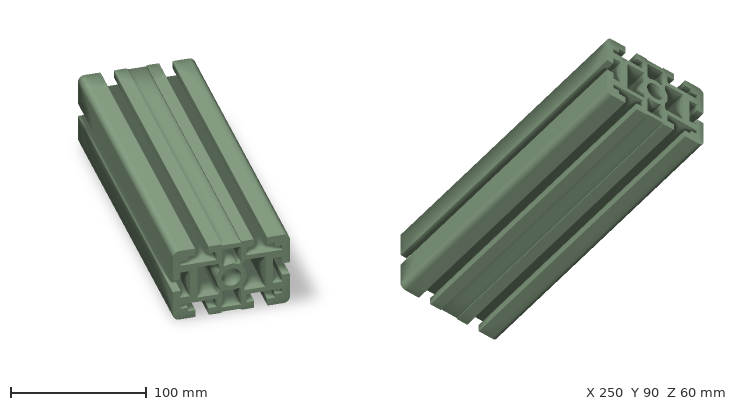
import cadquery as cq
import math

length = 250.0
width = 90.0
height = 60.0
corner_radius = 5.0

mouth_width = 10.0
mouth_edge_radius = 0.8
slot_width = 22.0
slot_depth = 13.0
lip_thickness = 6.0
slot_offset = 22.5
side_wall = 6.0
undercut_depth = 9.2

relief_width = 15.0
relief_depth = 1.0

bore_diameter = 15.0
tube_diameter = 23.2
middle_chamber_width = 14.5
middle_chamber_top = 25.2
middle_chamber_bottom = 12.0
side_chamber_inner = 9.0
side_chamber_outer = 26.0
side_chamber_height = 26.5
side_chamfer_run = 1.2
side_chamfer_drop = 2.0
middle_chamfer_run = 2.0
middle_chamfer_drop = 1.8

half_width = width / 2
half_height = height / 2


def bar_between(y_min, y_max, z_min, z_max):
    """Full-length block covering the given Y and Z range."""
    block = cq.Workplane("XY").box(length, y_max - y_min, z_max - z_min)
    return block.translate((0, (y_min + y_max) / 2, (z_min + z_max) / 2))


def rod(diameter):
    """Full-length cylinder on the X axis."""
    return cq.Workplane("YZ").circle(diameter / 2).extrude(length / 2, both=True)


def profile(points):
    """Full-length prism with the given (Y, Z) outline."""
    return cq.Workplane("YZ").polyline(points).close().extrude(length / 2, both=True)


def mirrored(cutter):
    """The cutter together with its mirror images in Y and Z."""
    pair = cutter.union(cutter.mirror("XZ"))
    return pair.union(pair.mirror("XY"))


def slot_mouth():
    """Slot opening in the +Z face, centred on Y = 0, with rounded outer edges."""
    half_mouth = mouth_width / 2
    flare = half_mouth + mouth_edge_radius
    edge_bottom = half_height - mouth_edge_radius
    slot_middle = half_height - (lip_thickness + slot_depth) / 2
    mid_y = flare - mouth_edge_radius * math.sqrt(0.5)
    mid_z = edge_bottom + mouth_edge_radius * math.sqrt(0.5)
    outline = (
        cq.Workplane("YZ")
        .moveTo(-half_mouth, slot_middle)
        .lineTo(half_mouth, slot_middle)
        .lineTo(half_mouth, edge_bottom)
        .threePointArc((mid_y, mid_z), (flare, half_height))
        .lineTo(-flare, half_height)
        .threePointArc((-mid_y, mid_z), (-half_mouth, edge_bottom))
        .close()
    )
    return outline.extrude(length / 2, both=True)


def t_slot():
    """T-slot in the +Z face, centred on Y = 0."""
    head = bar_between(
        -slot_width / 2, slot_width / 2, half_height - slot_depth, half_height - lip_thickness
    )
    return head.union(slot_mouth())


def top_slot():
    """T-slot near the +Y edge of the +Z face, with an undercut towards that edge."""
    undercut = bar_between(
        slot_offset, half_width - side_wall, half_height - slot_depth, half_height - undercut_depth
    )
    return t_slot().translate((0, slot_offset, 0)).union(undercut)


def side_slot():
    """T-slot in the middle of the +Y face."""
    turned = t_slot().rotate((0, 0, 0), (1, 0, 0), -90)
    return turned.translate((0, half_width - half_height, 0))


def middle_chamber():
    """Chamber between the tube and the +Z face, chamfered where its walls meet the tube."""
    half = middle_chamber_width / 2
    floor_y = half - middle_chamfer_run
    floor_z = middle_chamber_bottom - middle_chamfer_drop
    outline = [
        (-half, middle_chamber_top),
        (half, middle_chamber_top),
        (half, middle_chamber_bottom),
        (floor_y, floor_z),
        (-floor_y, floor_z),
        (-half, middle_chamber_bottom),
    ]
    return profile(outline)


def side_chamber():
    """Chamber between the tube and the +Y slot, chamfered next to the tube."""
    half = side_chamber_height / 2
    outline = [
        (side_chamber_outer, -half),
        (side_chamber_outer, half),
        (side_chamber_inner + side_chamfer_run, half),
        (side_chamber_inner, half - side_chamfer_drop),
        (side_chamber_inner, -half + side_chamfer_drop),
        (side_chamber_inner + side_chamfer_run, -half),
    ]
    return profile(outline)


body = cq.Workplane("XY").box(length, width, height).edges("|X").fillet(corner_radius)

relief = bar_between(-relief_width / 2, relief_width / 2, half_height - relief_depth, half_height)
for recess in (top_slot(), side_slot(), relief):
    body = body.cut(mirrored(recess))

tube = rod(tube_diameter)
for chamber in (middle_chamber(), side_chamber()):
    body = body.cut(mirrored(chamber.cut(tube)))

result = body.cut(rod(bore_diameter))